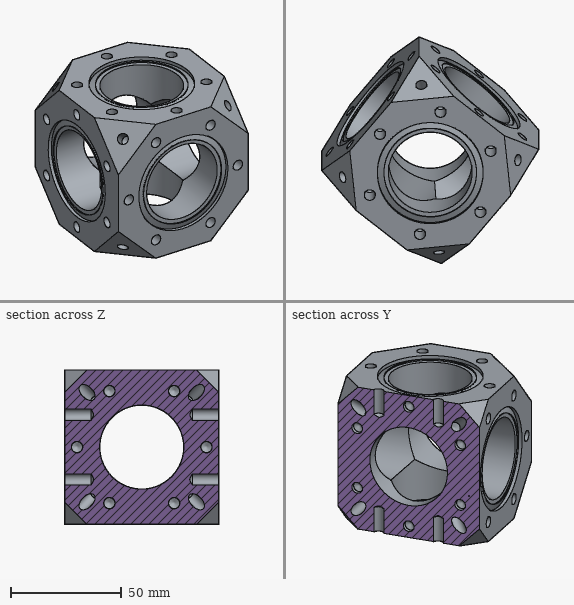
import cadquery as cq
import math

cube_side = 70.0
half_side = cube_side / 2
corner_cut = 20.2

bore_radius = 19.0
knife_radius = 21.0
recess_radius = 24.0
knife_depth = 0.6
step_depth = 1.2
knife_angle = 20.0
recess_depth = knife_depth + (recess_radius - knife_radius) * math.tan(math.radians(knife_angle))

bolt_count = 6
bolt_circle_diameter = 58.7
bolt_circle_radius = bolt_circle_diameter / 2
hole_radius = 2.5
hole_depth = 12.0
drill_tip_angle = 118.0
hole_tip_depth = hole_depth + hole_radius / math.tan(math.radians(drill_tip_angle / 2))

SIDES = (-1, 1)
CORNERS = [(sx, sy, sz) for sx in SIDES for sy in SIDES for sz in SIDES]

FACE_DIRECTIONS = [
    ((1, 0, 0), (0, 1, 0)),
    ((0, 1, 0), (0, 0, 1)),
    ((0, 0, 1), (1, 0, 0)),
]


def revolved_cutter(profile, plane):
    """Turn a (radius, height) profile about the normal of the plane."""
    turned = cq.Workplane("XZ").polyline(profile).close().revolve(360, (0, 0), (0, 1))
    return turned.val().moved(cq.Location(plane))


def port_cutter(plane):
    """Bore to the centre of the cube, with the knife-edge recess at its mouth."""
    profile = [
        (0, 0),
        (recess_radius, 0),
        (recess_radius, -recess_depth),
        (knife_radius, -knife_depth),
        (knife_radius, -step_depth),
        (bore_radius, -step_depth),
        (bore_radius, -half_side),
        (0, -half_side),
    ]
    return revolved_cutter(profile, plane)


def hole_cutter(plane):
    """Blind hole with a conical drill tip."""
    profile = [(0, 0), (hole_radius, 0), (hole_radius, -hole_depth), (0, -hole_tip_depth)]
    return revolved_cutter(profile, plane)


def bolt_hole_cutters(face):
    """Holes evenly spaced on the bolt circle of a face."""
    cutters = []
    for i in range(bolt_count):
        angle = 2 * math.pi * i / bolt_count
        x = bolt_circle_radius * math.cos(angle)
        y = bolt_circle_radius * math.sin(angle)
        center = face.toWorldCoords((x, y))
        cutters.append(hole_cutter(cq.Plane(center, face.xDir, face.zDir)))
    return cutters


def face_planes():
    """Planes on the six faces, each with its normal pointing outward."""
    planes = []
    for normal, toward_bolt in FACE_DIRECTIONS:
        for side in SIDES:
            outward = cq.Vector(*normal) * side
            planes.append(cq.Plane(outward * half_side, toward_bolt, outward))
    return planes


def corner_plane(corner):
    """Plane of a cut corner, centred on its triangle."""
    center = cq.Vector(*corner) * (half_side - corner_cut / 3)
    sx, sy, _ = corner
    return cq.Plane(center, (sx, -sy, 0), corner)


def corner_block(plane):
    """Block standing outside a cut corner, wide enough to remove the whole tip."""
    width = 3 * corner_cut
    return cq.Workplane(plane).rect(width, width).extrude(corner_cut).val()


body = cq.Workplane("XY").box(cube_side, cube_side, cube_side)

for corner in CORNERS:
    plane = corner_plane(corner)
    body = body.cut(cq.Workplane(corner_block(plane)))
    body = body.cut(cq.Workplane(hole_cutter(plane)))

for face in face_planes():
    body = body.cut(cq.Workplane(port_cutter(face)))
    for cutter in bolt_hole_cutters(face):
        body = body.cut(cq.Workplane(cutter))

result = body